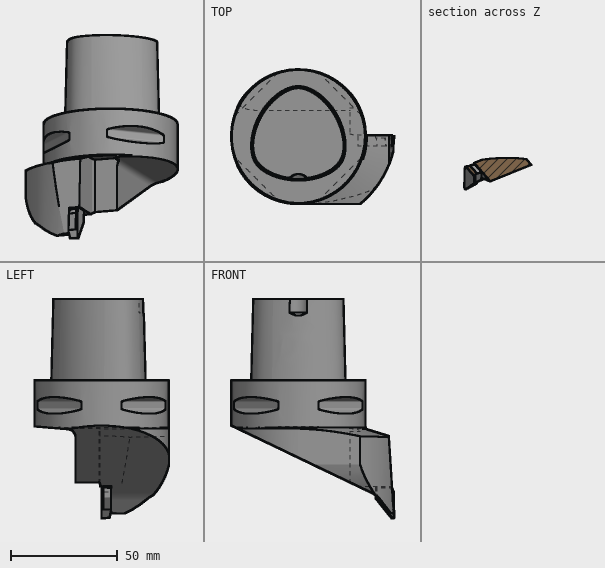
import cadquery as cq
import math


reach = 61.8
margin = 1.0

shank_height = 38.0
shank_width = 44.3
lobe_count = 3
lobe_rise = 1.4
shank_taper = 1 / 20
outline_steps = 12
flat_half_angle = 23.0

notch_radius = 5.2
notch_depth = 6.5
notch_axis_y = -22.8
drill_tip_height = 3.2

flange_radius = 31.5
flange_height = 22.2
flange_chamfer = 0.3

groove_count = 4
groove_first_angle = 45
groove_floor_distance = 27.9
groove_mid_z = -11.9
groove_floor_width = 3.7
groove_flank_angle = 30
groove_corner_radius = 0.9

head_radius = 31.7
cone_fillet = 0.9
cone_angle = 17.0
side_end_x = 28.9
nose_mid = (42.1, -14.1)
nose_end = (45.9, 1.0)
belly_start_z = -39.7
belly_mid = (-24.7, -53.5)
belly_end = (-11.2, -62.8)

slant_start = (-33.0, -20.7)
slant_end = (36.9, -54.2)
tip_left = (43.5, -62.7)
tip_right = (44.7, -62.2)
right_face_top = (42.4, -26.2)
slant_fillet = 10.3

back_wall_y = 12.3
undercut_outer_z = -21.8
undercut_inner_z = -23.5
undercut_fillet = 3.6
step_x = 24.2
step_foot = (26.3, 0.6)
step_shoulder_y = 1.1
step_roof_z = -22.9

insert_thickness = 4.6
insert_top_y = 0.1
insert_roof_z = -49.9
seat_start_x = 26.8
insert_heel_x = 36.2
insert_heel_z = -55.4
insert_roof_right_x = 43.7
insert_shoulder_z = -52.5
insert_nose_center = (44.2, -64.2)
insert_nose_radius = 0.8
insert_flank_angle = 52.3
insert_lean = 1.5
insert_heel_fillet = 0.6
insert_clearance = 5.0
lip_thickness = 0.9
relief_depth = 0.3
relief_end_z = -60.7
toe_thickness = 3.8
toe_start_z = -61.4


def polygon_point(width, angle, z):
    """Point of the three-lobed constant-width curve whose normal has this angle from -Y."""
    support = width / 2 - lobe_rise * math.cos(lobe_count * angle)
    shift = lobe_count * lobe_rise * math.sin(lobe_count * angle)
    out = support * math.cos(angle) - shift * math.sin(angle)
    along = support * math.sin(angle) + shift * math.cos(angle)
    return cq.Vector(along, -out, z)


def polygon_wire(width, z):
    """Closed outline: three flatter stretches alternating with three lobes."""
    pitch = 360 / lobe_count
    edges = []
    for side in range(lobe_count):
        middle = pitch * side
        start = middle - flat_half_angle
        joint = middle + flat_half_angle
        end = start + pitch
        for first, last in ((start, joint), (joint, end)):
            step = (last - first) / outline_steps
            angles = [math.radians(first + step * i) for i in range(outline_steps + 1)]
            points = [polygon_point(width, angle, z) for angle in angles]
            tangents = [cq.Vector(math.cos(a), math.sin(a), 0) for a in (angles[0], angles[-1])]
            edges.append(cq.Edge.makeSpline(points, tangents=tangents))
    return cq.Wire.assembleEdges(edges)


def make_shank():
    top_width = shank_width - shank_height * shank_taper
    wires = [polygon_wire(shank_width, 0), polygon_wire(top_width, shank_height)]
    shank = cq.Workplane(obj=cq.Solid.makeLoft(wires, True))
    notch = (
        cq.Workplane("XZ")
        .moveTo(0, shank_height + margin)
        .lineTo(notch_radius, shank_height + margin)
        .lineTo(notch_radius, shank_height - notch_depth)
        .lineTo(0, shank_height - notch_depth - drill_tip_height)
        .close()
        .revolve(360, (0, 0, 0), (0, 1, 0))
        .translate((0, notch_axis_y, 0))
    )
    return shank.cut(notch)


def make_flange():
    flange = cq.Workplane("XY").circle(flange_radius).extrude(-flange_height)
    flange = flange.faces(">Z").chamfer(flange_chamfer)
    flank_run = (flange_radius - groove_floor_distance + margin) * math.tan(math.radians(groove_flank_angle))
    outer_x = flange_radius + margin
    half_floor = groove_floor_width / 2
    groove = (
        cq.Workplane("XZ")
        .moveTo(groove_floor_distance, groove_mid_z - half_floor)
        .lineTo(outer_x, groove_mid_z - half_floor - flank_run)
        .lineTo(outer_x, groove_mid_z + half_floor + flank_run)
        .lineTo(groove_floor_distance, groove_mid_z + half_floor)
        .close()
        .extrude(flange_radius, both=True)
        .edges("|Y and <X")
        .fillet(groove_corner_radius)
    )
    for i in range(groove_count):
        angle = groove_first_angle + 360 / groove_count * i
        flange = flange.cut(groove.rotate((0, 0, 0), (0, 0, 1), angle))
    return flange


def make_head_plan():
    """Plan outline of the head, with the round side on the right, as a tall prism."""
    disc = cq.Workplane("XY").circle(head_radius).extrude(-2 * reach)
    side = (
        cq.Workplane("XY")
        .moveTo(0, -head_radius)
        .lineTo(side_end_x, -head_radius)
        .threePointArc(nose_mid, nose_end)
        .lineTo(0, nose_end[1])
        .close()
        .extrude(-2 * reach)
    )
    return disc.union(side)


def make_shoulder():
    """Round body with the fillet and the conical shoulder under the flange."""
    def fillet_point(angle):
        turn = math.radians(angle)
        return (
            flange_radius + cone_fillet * (1 - math.cos(turn)),
            -flange_height - cone_fillet * math.sin(turn),
        )

    sweep = 90 - cone_angle
    fillet_end = fillet_point(sweep)
    cone_drop = (reach - fillet_end[0]) * math.tan(math.radians(cone_angle))
    return (
        cq.Workplane("XZ")
        .moveTo(0, -flange_height)
        .lineTo(flange_radius, -flange_height)
        .threePointArc(fillet_point(sweep / 2), fillet_end)
        .lineTo(reach, fillet_end[1] - cone_drop)
        .lineTo(reach, -2 * reach)
        .lineTo(0, -2 * reach)
        .close()
        .revolve(360, (0, 0, 0), (0, 1, 0))
    )


def make_head_outline():
    """Head seen along Y: slanted underside, steep flank, small tip and leaning right face."""
    lean = (tip_right[0] - right_face_top[0]) / (tip_right[1] - right_face_top[1])
    right_top_x = right_face_top[0] - lean * right_face_top[1]
    outline = cq.Workplane("XZ").polyline([
        (right_top_x, 0),
        (slant_start[0], 0),
        slant_start,
        slant_end,
        tip_left,
        tip_right,
    ])
    return (
        outline.close()
        .extrude(reach, both=True)
        .edges(cq.selectors.NearestToPointSelector((slant_end[0], 0, slant_end[1])))
        .fillet(slant_fillet)
    )


def make_belly():
    """Head seen along X: straight -Y side that rounds under to the tip."""
    return (
        cq.Workplane("YZ")
        .moveTo(-head_radius - margin, 0)
        .lineTo(-head_radius - margin, belly_start_z)
        .lineTo(-head_radius, belly_start_z)
        .threePointArc(belly_mid, belly_end)
        .lineTo(reach, belly_end[1])
        .lineTo(reach, 0)
        .close()
        .extrude(reach, both=True)
    )


def make_back_clearance():
    """Space behind the head: an undercut below the flange, then the step beside the insert."""
    undercut = (
        cq.Workplane("YZ")
        .moveTo(back_wall_y, undercut_inner_z)
        .lineTo(flange_radius, undercut_outer_z)
        .lineTo(reach, undercut_outer_z)
        .lineTo(reach, -2 * reach)
        .lineTo(back_wall_y, -2 * reach)
        .close()
        .extrude(reach, both=True)
        .edges(cq.selectors.NearestToPointSelector((0, back_wall_y, undercut_inner_z)))
        .fillet(undercut_fillet)
    )
    step = (
        cq.Workplane("XY", origin=(0, 0, step_roof_z))
        .polyline([
            (step_x, back_wall_y + margin),
            (step_x, step_shoulder_y),
            step_foot,
            (reach, step_foot[1]),
            (reach, back_wall_y + margin),
        ])
        .close()
        .extrude(-reach)
    )
    return undercut.union(step)


def make_seat():
    """Pocket for the insert, open to the tip and to the +Y side."""
    return cq.Workplane("XY").box(reach, reach, reach, centered=False).translate(
        (seat_start_x, insert_top_y - insert_thickness, insert_roof_z - reach)
    )


def make_holder():
    head = make_shoulder().intersect(make_head_plan()).intersect(make_belly())
    lower = make_flange().union(head).intersect(make_head_outline())
    holder = lower.union(make_shank())
    return holder.cut(make_back_clearance()).cut(make_seat())


def make_insert_outline():
    """Outline with a round nose at the bottom, tangent to the flank and to the right edge."""
    center_x, center_z = insert_nose_center

    def nose_point(angle):
        turn = math.radians(angle)
        return (
            center_x + insert_nose_radius * math.cos(turn),
            center_z + insert_nose_radius * math.sin(turn),
        )

    flank_foot = nose_point(270 - insert_flank_angle)
    edge_foot = nose_point(insert_lean)
    shoulder_shift = (insert_shoulder_z - edge_foot[1]) * math.tan(math.radians(insert_lean))
    return (
        cq.Workplane("XZ", origin=(0, insert_top_y, 0))
        .moveTo(*flank_foot)
        .threePointArc(nose_point(270), edge_foot)
        .lineTo(edge_foot[0] - shoulder_shift, insert_shoulder_z)
        .lineTo(insert_roof_right_x, insert_roof_z)
        .lineTo(insert_heel_x, insert_roof_z)
        .lineTo(insert_heel_x, insert_heel_z)
        .close()
    )


def make_insert_plate(outline):
    """Plate of full thickness whose sides lean in for clearance, with a rounded heel."""
    plate = outline.extrude(insert_thickness, taper=insert_clearance)
    heel_point = (insert_heel_x, insert_top_y - insert_thickness / 2, insert_heel_z)
    heel_edge = cq.selectors.NearestToPointSelector(heel_point)
    return plate.edges(heel_edge).fillet(insert_heel_fillet)


def make_insert_relief():
    """Band taken off the sides below the lip, above the nose."""
    lip_y = insert_top_y - lip_thickness
    band = (
        cq.Workplane("XY")
        .box(reach, insert_thickness, reach, centered=False)
        .translate((seat_start_x, lip_y - insert_thickness, relief_end_z))
    )
    core = make_insert_plate(make_insert_outline().offset2D(-relief_depth))
    return band.cut(core)


def make_insert_toe():
    """Wedge taken off the underside of the nose."""
    nose_end_z = insert_nose_center[1] - insert_nose_radius
    seat_y = insert_top_y - insert_thickness
    return (
        cq.Workplane("YZ")
        .moveTo(seat_y, toe_start_z)
        .lineTo(insert_top_y - toe_thickness, nose_end_z)
        .lineTo(seat_y, nose_end_z)
        .close()
        .extrude(reach)
    )


def make_insert():
    blank = make_insert_plate(make_insert_outline())
    return blank.cut(make_insert_relief()).cut(make_insert_toe())


holder = make_holder()
insert = make_insert()

result = cq.Compound.makeCompound([holder.solids().val(), insert.solids().val()])